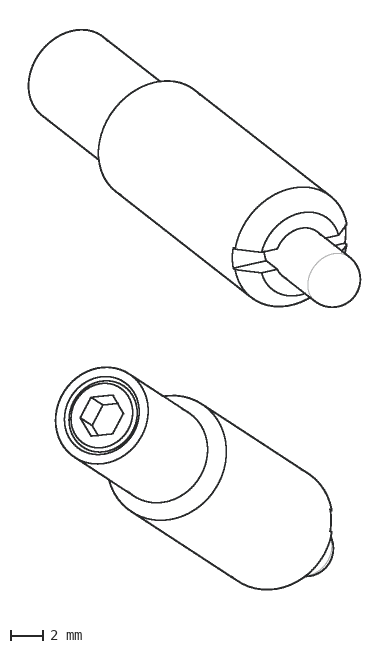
import cadquery as cq
import math

total_length = 36.0
sleeve_length = 10.0
body_end = 30.0

sleeve_diameter = 6.2
body_diameter = 8.0
shoulder_chamfer = (body_diameter - sleeve_diameter) / 2
nose_chamfer = 1.2

pin_diameter = 3.5

slot_width = 1.4
slot_depth = 1.45

bore_mouth_diameter = 5.0
screw_end_diameter = 4.13
hex_across_flats = 2.5
hex_depth = 2.0

groove_diameter = (bore_mouth_diameter + screw_end_diameter) / 2
groove_depth = (bore_mouth_diameter - groove_diameter) / 2


def revolve_about_x(outline):
    """Turn a closed (x, radius) outline into a solid about the X axis."""
    return outline.close().revolve(360, (0, 0, 0), (1, 0, 0))


def make_body():
    """Sleeve and body, with the end of the flush set screw on the -X face."""
    body_radius = body_diameter / 2
    outline = (
        cq.Workplane("XY")
        .moveTo(0, 0)
        .lineTo(0, screw_end_diameter / 2)
        .lineTo(groove_depth, groove_diameter / 2)
        .lineTo(0, bore_mouth_diameter / 2)
        .lineTo(0, sleeve_diameter / 2)
        .lineTo(sleeve_length, sleeve_diameter / 2)
        .lineTo(sleeve_length + shoulder_chamfer, body_radius)
        .lineTo(body_end - nose_chamfer, body_radius)
        .lineTo(body_end, body_radius - nose_chamfer)
        .lineTo(body_end, 0)
    )
    return revolve_about_x(outline)


def make_slot():
    """Driver slot running along Y through the nose of the body."""
    return cq.Workplane("XY").box(slot_depth, body_diameter, slot_width).translate(
        (body_end - slot_depth / 2, 0, 0)
    )


def make_pin():
    """Plunger pin, rooted at the slot floor and ending in a hemisphere."""
    pin_radius = pin_diameter / 2
    dome_start = total_length - pin_radius
    dome_mid_offset = pin_radius * math.sqrt(0.5)
    pin_root = body_end - slot_depth
    outline = (
        cq.Workplane("XY")
        .moveTo(pin_root, 0)
        .lineTo(pin_root, pin_radius)
        .lineTo(dome_start, pin_radius)
        .threePointArc((dome_start + dome_mid_offset, dome_mid_offset), (total_length, 0))
    )
    return revolve_about_x(outline)


def make_hex_socket():
    """Hexagonal key socket in the set screw, with flats facing +Z and -Z."""
    across_corners = hex_across_flats / math.cos(math.pi / 6)
    return (
        cq.Workplane("YZ")
        .polygon(6, across_corners)
        .extrude(hex_depth)
    )


result = make_body().cut(make_slot()).union(make_pin()).cut(make_hex_socket())